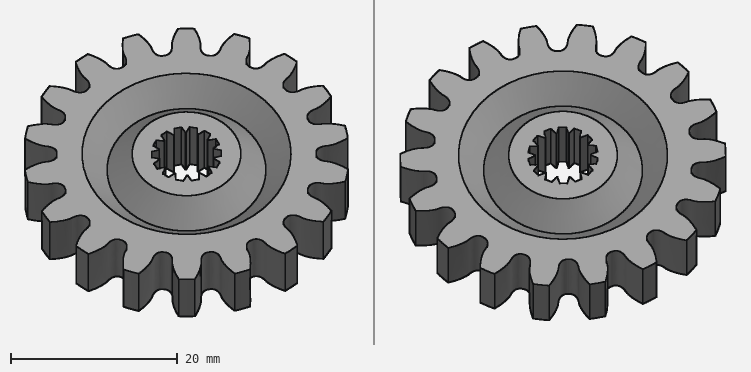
import cadquery as cq
import math

thickness = 7.0
tip_radius = 19.5

tooth_count = 18
pitch_radius = 18.0
pressure_angle = math.radians(20)
module = 2 * pitch_radius / tooth_count
base_radius = pitch_radius * math.cos(pressure_angle)
dedendum_factor = 1.25
dedendum = dedendum_factor * module
root_radius = pitch_radius - dedendum

cutter_radius_factor = 0.38
cutter_radius = cutter_radius_factor * module
cutter_depth = dedendum - cutter_radius
cutter_half_land = (
    math.pi * module / 4
    - dedendum * math.tan(pressure_angle)
    - cutter_radius * math.tan(math.pi / 4 - pressure_angle / 2)
)

groove_inner_radius = 6.5
groove_outer_radius = 12.5
groove_bottom_radius = (groove_inner_radius + groove_outer_radius) / 2
groove_depth = 3.0

spline_count = 14
spline_tip_radius = 3.3
spline_tip_width = 0.08
spline_slot_reach = 4.17
spline_slot_width = 0.9


def polar(radius, angle):
    return (radius * math.cos(angle), radius * math.sin(angle))


def turned(point, angle):
    """Rotate a point about the gear axis."""
    x, y = point
    cos_a, sin_a = math.cos(angle), math.sin(angle)
    return (x * cos_a - y * sin_a, x * sin_a + y * cos_a)


def mirrored(point):
    return (point[0], -point[1])


def tooth_half_angle(radius):
    """Half the angle that a tooth fills at a radius on its involute flank."""
    def involute(angle):
        return math.tan(angle) - angle

    local_angle = math.acos(min(1.0, base_radius / radius))
    return math.pi / (2 * tooth_count) + involute(pressure_angle) - involute(local_angle)


def root_fillet_point(travel):
    """Point cut in the gap centred on +X when the cutter corner is `travel` past the pitch point."""
    reach = math.hypot(cutter_depth, travel)
    stretch = 1 + cutter_radius / reach
    cut_point = (pitch_radius - cutter_depth * stretch, travel * stretch)
    return turned(cut_point, (cutter_half_land - travel) / pitch_radius)


def gear_blank():
    pitch_angle = 2 * math.pi / tooth_count

    flank_steps = 5
    radii = [
        base_radius + (tip_radius - base_radius) * (step / flank_steps) ** 2
        for step in range(flank_steps + 1)
    ]
    rising = [polar(r, -tooth_half_angle(r)) for r in radii]
    falling = [mirrored(p) for p in reversed(rising)]

    fillet_steps = 8
    full_travel = cutter_depth / math.tan(pressure_angle)
    fillet_out = [
        root_fillet_point(full_travel * step / fillet_steps)
        for step in range(fillet_steps)
    ]
    fillet_out.append(turned(rising[0], pitch_angle / 2))
    fillet_in = [mirrored(p) for p in reversed(fillet_out)]

    outline = cq.Workplane("XY").moveTo(*rising[0])
    for index in range(tooth_count):
        tooth = index * pitch_angle
        gap = tooth + pitch_angle / 2
        outline = (
            outline.spline([turned(p, tooth) for p in rising[1:]], includeCurrent=True)
            .threePointArc(polar(tip_radius, tooth), turned(falling[0], tooth))
            .spline([turned(p, tooth) for p in falling[1:]], includeCurrent=True)
            .spline([turned(p, gap) for p in fillet_in[1:]], includeCurrent=True)
            .threePointArc(polar(root_radius, gap), turned(fillet_out[0], gap))
            .spline([turned(p, gap) for p in fillet_out[1:]], includeCurrent=True)
        )
    return outline.close().extrude(thickness)


def ring_groove():
    return (
        cq.Workplane("XZ")
        .moveTo(groove_inner_radius, thickness)
        .lineTo(groove_bottom_radius, thickness - groove_depth)
        .lineTo(groove_outer_radius, thickness)
        .close()
        .revolve(360, (0, 0, 0), (0, 1, 0))
    )


def splined_bore():
    slot_angle = 2 * math.pi / spline_count
    tip_half_angle = spline_tip_width / 2 / spline_tip_radius
    slot_mouth = polar(spline_tip_radius, slot_angle / 2 - tip_half_angle)
    slot_corner = (spline_slot_reach, spline_slot_width / 2)
    slot = [mirrored(slot_mouth), mirrored(slot_corner), slot_corner, slot_mouth]
    outline = [
        turned(p, index * slot_angle)
        for index in range(spline_count)
        for p in slot
    ]
    return cq.Workplane("XY").polyline(outline).close().extrude(thickness)


result = gear_blank().cut(ring_groove()).cut(splined_bore())